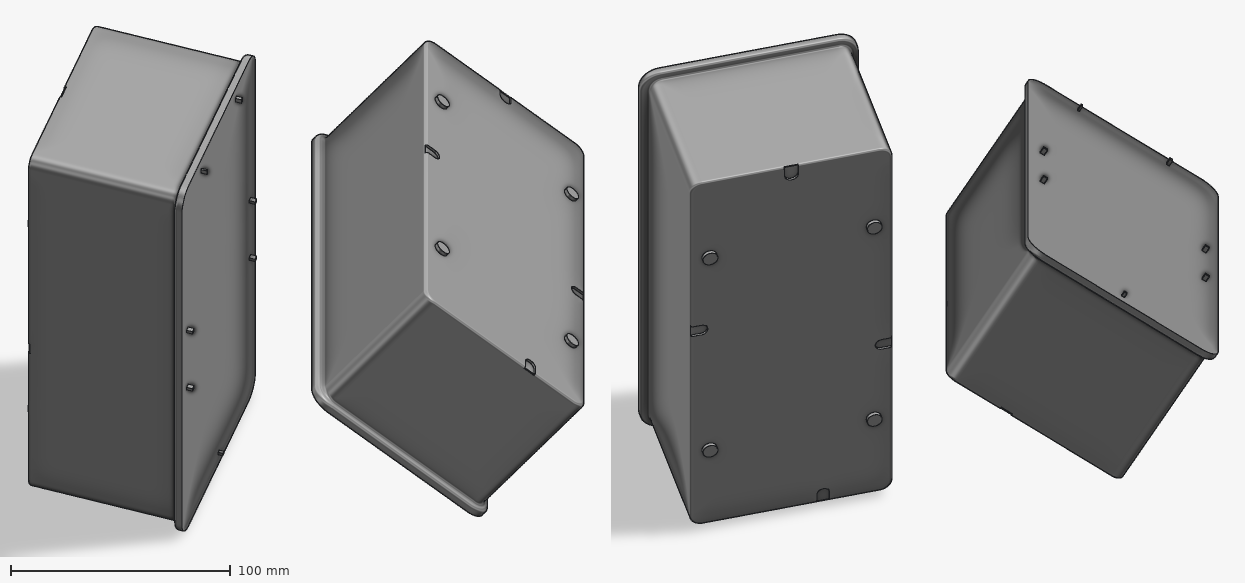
import cadquery as cq

total_depth = 80.0
flange_width = 103.0
flange_height = 220.0

foot_height = 1.8
long_pin_length = 2.9
short_pin_length = 2.2
flange_thickness = 4.0
floor_x = foot_height
rim_x = total_depth - long_pin_length
flange_x = rim_x - flange_thickness

flange_overhang = 3.7
body_width = flange_width - 2 * flange_overhang
body_height = flange_height - 2 * flange_overhang
flange_corner_radius = 9.7
body_corner_radius = flange_corner_radius - flange_overhang

floor_fillet = 1.5
flange_fillet = 1.8
neck_fillet = 1.5

foot_diameter = 7.0
foot_y = 38.7
foot_z = 59.8

notch_depth = 1.0
notch_length = 8.0
notch_width = 6.0
top_notch_width = 6.5
notch_edge_inset = 0.33
side_notch_z = 15.0
bottom_notch_y = -15.0

pin_length_along_wall = 1.5
pin_length_across_wall = 2.2
thin_pin_width = 0.9
pin_row_y = 43.8
pin_row_z = 102.7
side_pin_z = 18.5
top_pin_y = 24.2


def rounded_block(start_x, depth, width, height, corner_radius):
    """Block growing along +X with rounded edges along X."""
    return (
        cq.Workplane("YZ", origin=(start_x, 0, 0))
        .rect(width, height)
        .extrude(depth)
        .edges("|X")
        .fillet(corner_radius)
    )


def make_shell():
    """Body with its flange, all edges around them rounded."""
    body = rounded_block(floor_x, rim_x - floor_x, body_width, body_height, body_corner_radius)
    body = body.faces("<X").edges().fillet(floor_fillet)
    flange = rounded_block(flange_x, flange_thickness, flange_width, flange_height, flange_corner_radius)
    flange = flange.faces("<X").edges().fillet(flange_fillet)
    tolerance = 0.02
    neck = cq.selectors.BoxSelector(
        (flange_x - tolerance, -body_width / 2 - tolerance, -body_height / 2 - tolerance),
        (flange_x + tolerance, body_width / 2 + tolerance, body_height / 2 + tolerance),
        boundingbox=True,
    )
    return body.union(flange).edges(neck).fillet(neck_fillet)


def make_feet():
    return (
        cq.Workplane("YZ")
        .rect(2 * foot_y, 2 * foot_z, forConstruction=True)
        .vertices()
        .circle(foot_diameter / 2)
        .extrude(floor_x + notch_depth)
    )


def make_notch(edge_y, edge_z, turn, width):
    """Notch starting at a floor edge; turn is the angle from +Y to its inward direction."""
    straight = notch_length - width / 2
    return (
        cq.Workplane("YZ")
        .moveTo(0, -width / 2)
        .lineTo(straight, -width / 2)
        .threePointArc((notch_length, 0), (straight, width / 2))
        .lineTo(0, width / 2)
        .close()
        .extrude(floor_x + notch_depth)
        .rotate((0, 0, 0), (1, 0, 0), turn)
        .translate((0, edge_y, edge_z))
    )


def make_pin(y, z, width, height, length):
    """Pin standing on the rim, rooted in the flange."""
    root = flange_thickness / 2
    return cq.Workplane("YZ", origin=(rim_x - root, y, z)).rect(width, height).extrude(root + length)


notch_start_y = body_width / 2 - notch_edge_inset
notch_start_z = body_height / 2 - notch_edge_inset

result = make_shell()

for notch in (
    make_notch(0, notch_start_z, -90, top_notch_width),
    make_notch(bottom_notch_y, -notch_start_z, 90, notch_width),
    make_notch(notch_start_y, side_notch_z, 180, notch_width),
    make_notch(-notch_start_y, -side_notch_z, 0, notch_width),
):
    result = result.cut(notch)

result = result.union(make_feet())

for y in (-pin_row_y, pin_row_y):
    for z in (-side_pin_z, side_pin_z):
        side_pin = make_pin(y, z, pin_length_across_wall, pin_length_along_wall, long_pin_length)
        result = result.union(side_pin)

top_pin = make_pin(top_pin_y, pin_row_z, pin_length_along_wall, pin_length_across_wall, long_pin_length)
thin_top_pin = make_pin(-top_pin_y, pin_row_z, thin_pin_width, pin_length_across_wall, long_pin_length)
bottom_pin = make_pin(0, -pin_row_z, pin_length_along_wall, pin_length_along_wall, short_pin_length)
result = result.union(top_pin).union(thin_top_pin).union(bottom_pin)